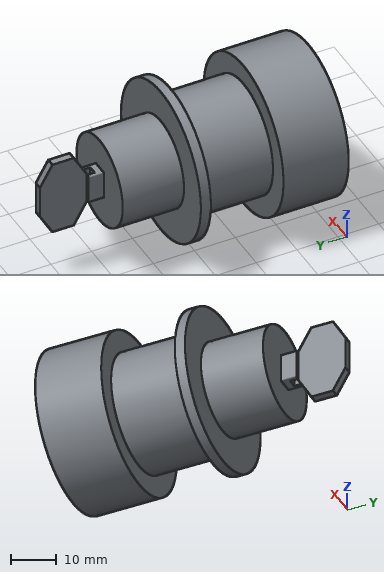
import cadquery as cq
import math

total_length = 66.4
head_length = 16.0
flange_start = 33.8
flange_thickness = 2.45
barrel_end = 51.25
stem_end = 55.0

head_diameter = 38.0
body_diameter = 28.0
flange_diameter = head_diameter
barrel_diameter = 22.0

stem_width = 4.0
stem_height = 7.0
stem_fillet = 0.25

key_thickness = 2.0
key_length = 13.35
key_height = 18.6
key_flat_length = 5.25
key_corner_length = 3.05
key_slope = math.tan(math.radians(60))

y_front = -total_length / 2
key_tip = total_length
key_root = key_tip - key_length
key_outer_corner = key_tip - key_corner_length
key_inner_corner = key_outer_corner - key_flat_length


def disc(diameter, start, end):
    """Cylinder along +Y between two stations."""
    plane = cq.Plane(origin=(0, start, 0), xDir=(1, 0, 0), normal=(0, 1, 0))
    return cq.Workplane(plane).circle(diameter / 2).extrude(end - start)


def block(width, height, start, end):
    """Box centred on the Y axis between two stations."""
    return cq.Workplane("XY").box(width, end - start, height).translate((0, (start + end) / 2, 0))


def make_turned_body():
    flange_end = flange_start + flange_thickness
    return (
        disc(head_diameter, 0, head_length)
        .union(disc(body_diameter, head_length, flange_start))
        .union(disc(flange_diameter, flange_start, flange_end))
        .union(disc(barrel_diameter, flange_end, barrel_end))
    )


def make_stem():
    stem = block(stem_width, stem_height, barrel_end, stem_end).edges("|Y").fillet(stem_fillet)
    return stem.cut(block(key_thickness, stem_height, key_root, stem_end))


def make_key():
    upper = [
        (key_root, key_height / 2 - key_slope * (key_inner_corner - key_root)),
        (key_inner_corner, key_height / 2),
        (key_outer_corner, key_height / 2),
        (key_tip, key_height / 2 - key_slope * key_corner_length),
    ]
    lower = [(y, -z) for y, z in reversed(upper)]
    return cq.Workplane("YZ").polyline(upper + lower).close().extrude(key_thickness / 2, both=True)


part = make_turned_body().union(make_stem()).union(make_key())
result = part.translate((0, y_front, 0))